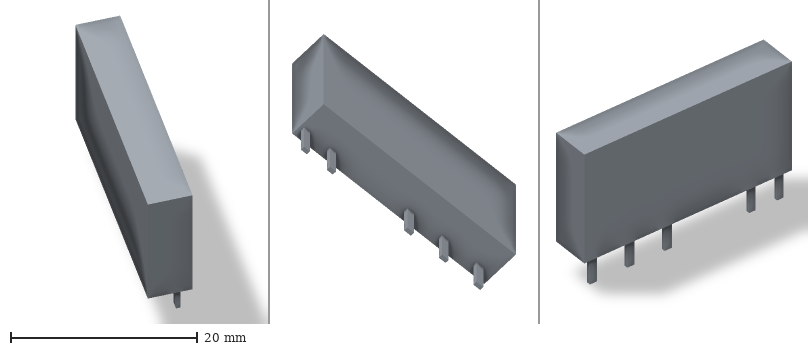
import cadquery as cq

body_length = 28.0
body_depth = 5.0
body_height = 14.5

total_height = 18.5
pin_length = total_height - body_height
pin_thickness = 0.5
pin_row_y = 1.32
coil_pin_width = 0.87
contact_pin_width = 0.98

first_pin_inset = 0.85
coil_pin_pitch = 3.78
coil_to_contact_gap = 11.35
contact_pin_pitch = 5.05
contact_pin_count = 3

first_coil_x = -body_length / 2 + first_pin_inset
second_coil_x = first_coil_x + coil_pin_pitch
first_contact_x = second_coil_x + coil_to_contact_gap

coil_pin_xs = [first_coil_x, second_coil_x]
contact_pin_xs = [first_contact_x + i * contact_pin_pitch for i in range(contact_pin_count)]


def make_body():
    """Plain rectangular housing."""
    return cq.Workplane("XY").rect(body_length, body_depth).extrude(body_height)


def make_pins(centre_xs, width):
    """Rectangular pins of one width, reaching down from the underside."""
    return (
        cq.Workplane("XY")
        .pushPoints([(x, pin_row_y) for x in centre_xs])
        .rect(width, pin_thickness)
        .extrude(-pin_length)
    )


coil_pins = make_pins(coil_pin_xs, coil_pin_width)
contact_pins = make_pins(contact_pin_xs, contact_pin_width)

result = make_body().union(coil_pins).union(contact_pins)